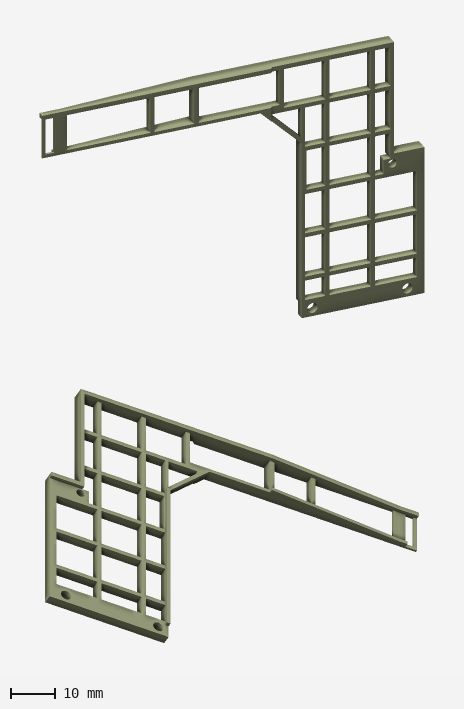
import cadquery as cq
import math


LENGTH = 92.6
HEIGHT = 65.5

BORDER_DEPTH = 0.9
PANEL_BACK = 3.15
ARM_BACK = 3.7
TIP_FRONT = 2.2
TIP_LATTICE_FRONT = TIP_FRONT + BORDER_DEPTH

PANEL_WIDTH = 29.6
SHOULDER_REACH = 7.3
SHOULDER_HEIGHT = 37.1
ARM_BOTTOM = 54.6
GUSSET_START = 44.4
GUSSET_REACH = PANEL_WIDTH + ARM_BOTTOM - GUSSET_START

BAR = 1.1
POST = 0.8
RIB = 1.0
SIDE_FRAME = 1.8
BASE_FRAME = 4.4
RAIL = 0.8
BRACE = 0.9
BRACE_WINDOW_CORNER = 36.8
FIRST_RIB_HEIGHT = 9.9
FIRST_RIB_REACH = 12.4
RIB_PITCH = 11.0
RIB_ROWS = 5
RIB_COLUMNS = 3
SHOULDER_ROW = 2

TAPER_START = 54.9
TAPER_END = 87.8
BACK_STEP_REACH = 37.0
TILTED_RIBS = ((TAPER_START, 1.1), (65.6, 1.0))
END_PLATE_START = 86.7
END_PLATE_END = 89.7

CORNER_PLATE_WIDTH = 9.8
CORNER_HOLE = (7.7, 34.6)
CORNER_HOLE_DIAMETER = 2.0
BASE_HOLES = ((4.1, 2.0), (27.0, 2.0))
BASE_HOLE_DIAMETER = 2.5
POST_BORDER_BOTTOM = 3.3
POST_BORDER_TOP = GUSSET_START
THICK_POST_LIP = 0.3
THICK_POST_ROW = SHOULDER_ROW


def side_prism(points):
    """Prism through the whole depth from (reach, height) points."""
    outline = [(-reach, height) for reach, height in points]
    return cq.Workplane("YZ").polyline(outline).close().extrude(ARM_BACK)


def side_box(reach_start, reach_end, bottom, top):
    """Box through the whole depth."""
    return side_prism([(reach_start, bottom), (reach_end, bottom), (reach_end, top), (reach_start, top)])


def plan_prism(points):
    """Prism through the whole height from (reach, depth) points."""
    outline = [(depth, -reach) for reach, depth in points]
    return cq.Workplane("XY").polyline(outline).close().extrude(HEIGHT)


def hole(centre, diameter):
    reach, height = centre
    return cq.Workplane("YZ").center(-reach, height).circle(diameter / 2).extrude(ARM_BACK)


half_step = (ARM_BACK - PANEL_BACK) / 2
lattice_front = [
    (0, BORDER_DEPTH),
    (TAPER_START, BORDER_DEPTH),
    (TAPER_END, TIP_LATTICE_FRONT),
    (LENGTH, TIP_LATTICE_FRONT),
]
border_front = [(reach, depth - BORDER_DEPTH) for reach, depth in lattice_front]
lattice_space = plan_prism(
    lattice_front
    + [
        (LENGTH, ARM_BACK),
        (BACK_STEP_REACH + half_step, ARM_BACK),
        (BACK_STEP_REACH - half_step, PANEL_BACK),
        (0, PANEL_BACK),
    ]
)
border_space = plan_prism(border_front + lattice_front[::-1])

post_inside = PANEL_WIDTH - POST
bar_bottom = HEIGHT - BAR
rail_top = ARM_BOTTOM + RAIL
shoulder_bottom = SHOULDER_HEIGHT - BAR
upper_post_inside = SHOULDER_REACH + POST
rib_heights = [FIRST_RIB_HEIGHT + row * RIB_PITCH for row in range(RIB_ROWS)]
rib_reaches = [FIRST_RIB_REACH + column * RIB_PITCH for column in range(RIB_COLUMNS)]
shoulder_rib_height = rib_heights[SHOULDER_ROW]
arm_post = rib_reaches[-1]


def panel_windows():
    """Openings between the ribs of the panel."""
    bottoms = [BASE_FRAME] + [height + RIB / 2 for height in rib_heights]
    tops = [height - RIB / 2 for height in rib_heights] + [bar_bottom]
    windows = []
    for bottom, top in zip(bottoms, tops):
        above_shoulder = bottom > shoulder_rib_height
        top_row = top == bar_bottom
        first_edge = upper_post_inside if above_shoulder else SIDE_FRAME
        last_edge = arm_post - RIB / 2 if top_row else post_inside
        starts = [first_edge] + [reach + RIB / 2 for reach in rib_reaches[:-1]]
        ends = [reach - RIB / 2 for reach in rib_reaches[:-1]] + [last_edge]
        windows += [side_box(start, end, bottom, top) for start, end in zip(starts, ends)]
    return windows


def brace_window():
    """Opening between the panel post and the diagonal brace."""
    top = rib_heights[-1] - RIB / 2
    inner_start = GUSSET_START + BRACE * math.sqrt(2)
    return side_prism(
        [
            (PANEL_WIDTH, inner_start),
            (BRACE_WINDOW_CORNER, inner_start + BRACE_WINDOW_CORNER - PANEL_WIDTH),
            (BRACE_WINDOW_CORNER, top),
            (PANEL_WIDTH, top),
        ]
    )


def tilted_rib(start, width):
    """Arm rib square to the tapered front face."""
    slope = (TIP_LATTICE_FRONT - BORDER_DEPTH) / (TAPER_END - TAPER_START)
    front = BORDER_DEPTH + slope * (start - TAPER_START)
    lean = slope * (ARM_BACK - front)
    rib = plan_prism(
        [
            (start, front),
            (start + width, front + slope * width),
            (start + width - lean, ARM_BACK),
            (start - lean, ARM_BACK),
        ]
    )
    return rib.intersect(side_box(0, LENGTH, ARM_BOTTOM, HEIGHT))


lattice = side_prism(
    [
        (0, 0),
        (PANEL_WIDTH, 0),
        (PANEL_WIDTH, GUSSET_START),
        (GUSSET_REACH, ARM_BOTTOM),
        (LENGTH, ARM_BOTTOM),
        (LENGTH, HEIGHT),
        (SHOULDER_REACH, HEIGHT),
        (SHOULDER_REACH, SHOULDER_HEIGHT),
        (0, SHOULDER_HEIGHT),
    ]
)
for window in panel_windows():
    lattice = lattice.cut(window)
lattice = lattice.cut(brace_window())
lattice = lattice.cut(side_box(arm_post + RIB / 2, LENGTH - POST, rail_top, bar_bottom))
lattice = lattice.union(side_box(0, CORNER_PLATE_WIDTH, shoulder_rib_height, shoulder_bottom))
lattice = lattice.union(side_box(END_PLATE_START, END_PLATE_END, ARM_BOTTOM, HEIGHT))
lattice = lattice.union(
    side_box(
        post_inside - THICK_POST_LIP,
        PANEL_WIDTH,
        rib_heights[THICK_POST_ROW],
        rib_heights[THICK_POST_ROW + 1],
    )
)
lattice = lattice.intersect(lattice_space)
for rib_start, rib_width in TILTED_RIBS:
    lattice = lattice.union(tilted_rib(rib_start, rib_width))

border_bars = [
    side_box(SHOULDER_REACH, LENGTH, bar_bottom, HEIGHT),
    side_box(SHOULDER_REACH, upper_post_inside, shoulder_bottom, HEIGHT),
    side_box(0, upper_post_inside, shoulder_bottom, SHOULDER_HEIGHT),
    side_box(post_inside, PANEL_WIDTH, POST_BORDER_BOTTOM, POST_BORDER_TOP),
    side_box(TAPER_START, END_PLATE_END, ARM_BOTTOM, rail_top),
]
result = lattice
for bar in border_bars:
    result = result.union(bar.intersect(border_space))

result = result.cut(hole(CORNER_HOLE, CORNER_HOLE_DIAMETER))
for base_hole in BASE_HOLES:
    result = result.cut(hole(base_hole, BASE_HOLE_DIAMETER))